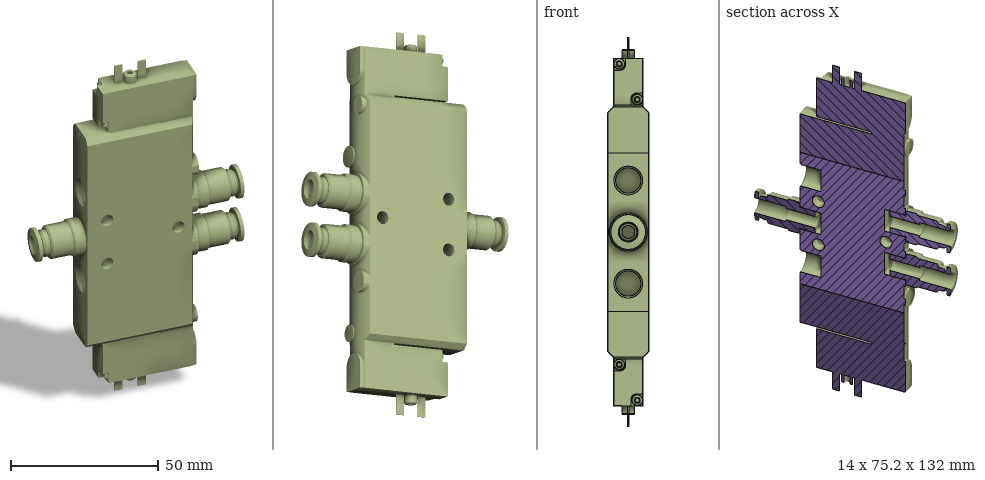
import cadquery as cq
import math

valve_width = 14.0
total_height = 132.0
fitting_span = 75.2
front_y = -20.2
seat_y = -front_y
crown_y = 19.7
shoulder_y = 17.7
center_half_height = 26.9
cap_top_z = 42.5
pilot_top_z = 59.0
half_width = valve_width / 2
crown_rise = crown_y - shoulder_y
crown_radius = (half_width**2 + crown_rise**2) / (2 * crown_rise)

front_port_pitch = 17.5
rear_port_z = front_port_pitch / 2
port_diameter = 8.57
port_mouth_diameter = 9.73
port_depth = 8.0
mount_hole_diameter = 4.4
front_mount_y = -13.1
rear_mount_y = 12.7
port_boss_diameter = 14.4

center_boss_diameter = 7.4
center_boss_x = 3.5
center_boss_z = 22.1
cap_boss_diameter = 6.0
cap_boss_x = -3.0
cap_boss_z = 39.0

cap_chamfer = 2.0
block_width = 10.0
block_front_y = 7.0
pad_width = 9.5
pad_arc_center_z = 51.1
coil_width = 9.9
coil_front_y = -13.9
coil_bottom_z = 43.1

screw_inset = 1.9
screw_pocket_diameter = 4.4
screw_pocket_depth = 2.0
screw_base_diameter = 3.6
screw_tip_diameter = 2.0
screw_height = 0.8
screw_socket_diameter = 1.57

stud_y = -2.2
stud_diameter = 4.4
stud_height = 3.0
stud_chamfer = 0.4
stud_hole_diameter = 2.0
contact_offset_y = 4.2
contact_width = 2.9
contact_thickness = 0.5
contact_top_z = total_height / 2

thread_radius = port_diameter / 2
thread_length = 6.0
seat_ring_radius = 12.4 / 2
seat_ring_top = 0.3
washer_radius = 12.9 / 2
washer_top = 1.9
collar_radius = 13.0 / 2
collar_top = 4.0
barrel_radius = 11.8 / 2
barrel_bottom = collar_top + collar_radius - barrel_radius
barrel_top = 12.45
barrel_chamfer = 0.7
sleeve_radius = 9.5 / 2
sleeve_top = 14.2
step_radius = 9.1 / 2
step_top = 15.1
step_chamfer = 0.3
neck_radius = 8.0 / 2
flange_bottom = 15.65
flange_top = 16.95
fitting_height = fitting_span / 2 - seat_y
tube_mouth_radius = 6.7 / 2
tube_radius = 6.0 / 2
tube_mouth_depth = 0.35
tube_depth = 12.0
flow_radius = 4.4 / 2


def prism(width, y_front, z_low, z_high):
    """Block of the given width whose back follows the common crown arc."""
    half = width / 2
    edge_y = crown_y - crown_radius + math.sqrt(crown_radius**2 - half**2)
    return (
        cq.Workplane("XY", origin=(0, 0, z_low))
        .moveTo(-half, y_front)
        .lineTo(half, y_front)
        .lineTo(half, edge_y)
        .threePointArc((0, crown_y), (-half, edge_y))
        .close()
        .extrude(z_high - z_low)
    )


def box_between(x_range, y_range, z_range):
    """Box from its limits along each axis."""
    lows, highs = zip(x_range, y_range, z_range)
    sizes = [high - low for low, high in zip(lows, highs)]
    return cq.Workplane("XY").box(*sizes, centered=False).translate(lows)


def y_cylinder(diameter, x, z, y_low, y_high):
    """Cylinder along +Y between two Y positions."""
    axis = cq.Vector(0, 1, 0)
    return cq.Workplane(cq.Solid.makeCylinder(diameter / 2, y_high - y_low, cq.Vector(x, y_low, z), axis))


def rear_boss(diameter, x, z):
    """Round boss standing up to the seat plane, trimmed flush with the valve sides."""
    boss = y_cylinder(diameter, x, z, block_front_y, seat_y)
    side_trim = box_between((-half_width, half_width), (block_front_y, seat_y), (z - diameter, z + diameter))
    return boss.intersect(side_trim)


def port_cutter(z):
    """Chamfered blind port entering the front face at height z."""
    chamfer = (port_mouth_diameter - port_diameter) / 2
    profile = [
        (0, 0),
        (port_mouth_diameter / 2, 0),
        (port_diameter / 2, chamfer),
        (port_diameter / 2, port_depth),
        (0, port_depth),
    ]
    cutter = cq.Workplane("XY").polyline(profile).close().revolve(360, (0, 0, 0), (0, 1, 0))
    return cutter.translate((0, front_y, z))


def turn_to_back(shape):
    """Turn a shape half a turn about Z, swapping front and back."""
    return shape.rotate((0, 0, 0), (0, 0, 1), 180)


def make_center_section():
    section = prism(valve_width, front_y, -center_half_height, center_half_height)
    for side in (1, -1):
        section = section.union(rear_boss(port_boss_diameter, 0, side * rear_port_z))
        section = section.union(rear_boss(center_boss_diameter, side * center_boss_x, side * center_boss_z))
    for step in (-1, 0, 1):
        section = section.cut(port_cutter(step * front_port_pitch))
    for side in (-1, 1):
        section = section.cut(turn_to_back(port_cutter(side * rear_port_z)))
    mount_holes = (
        cq.Workplane("YZ", origin=(-half_width, 0, 0))
        .pushPoints([(front_mount_y, rear_port_z), (front_mount_y, -rear_port_z), (rear_mount_y, 0)])
        .circle(mount_hole_diameter / 2)
        .extrude(valve_width)
    )
    return section.cut(mount_holes)


def make_cap():
    cap = prism(valve_width, front_y, center_half_height, cap_top_z)
    side_edges = cq.selectors.BoxSelector(
        (-valve_width, front_y - 1, cap_top_z - cap_chamfer / 2),
        (valve_width, shoulder_y + 1, cap_top_z + cap_chamfer / 2),
    )
    cap = cap.faces(">Z").edges("|Y").edges(side_edges).chamfer(cap_chamfer)
    return cap.union(rear_boss(cap_boss_diameter, cap_boss_x, cap_boss_z))


def make_pilot_block():
    block = prism(block_width, block_front_y, cap_top_z, pilot_top_z)
    pad_half = pad_width / 2
    pad_round = y_cylinder(pad_width, 0, pad_arc_center_z, block_front_y, seat_y)
    pad_flat = box_between((-pad_half, pad_half), (block_front_y, seat_y), (pad_arc_center_z, pilot_top_z))
    return block.union(pad_round).union(pad_flat)


def screw_pocket(x_side, z_side, x, z):
    """Corner recess: a round end around the screw, opened out to both outer edges."""
    radius = screw_pocket_diameter / 2
    floor_y = coil_front_y + screw_pocket_depth
    reach = 2 * radius
    y_range = (coil_front_y, floor_y)
    pocket = y_cylinder(screw_pocket_diameter, x, z, *y_range)
    spans_x = sorted((x - x_side * radius, x + x_side * reach))
    spans_z = sorted((z, z + z_side * reach))
    pocket = pocket.union(box_between(spans_x, y_range, spans_z))
    spans_x = sorted((x, x + x_side * reach))
    spans_z = sorted((z - z_side * radius, z + z_side * reach))
    return pocket.union(box_between(spans_x, y_range, spans_z))


def screw_head(x, z):
    """Low conical screw head with a round socket, standing on the pocket floor."""
    profile = [
        (screw_socket_diameter / 2, 0),
        (screw_base_diameter / 2, 0),
        (screw_tip_diameter / 2, -screw_height),
        (screw_socket_diameter / 2, -screw_height),
    ]
    head = cq.Workplane("XY").polyline(profile).close().revolve(360, (0, 0, 0), (0, 1, 0))
    return head.translate((x, coil_front_y + screw_pocket_depth, z))


def make_coil():
    half = coil_width / 2
    coil = box_between((-half, half), (coil_front_y, block_front_y), (coil_bottom_z, pilot_top_z))
    corners = [(-1, 1, pilot_top_z), (1, -1, coil_bottom_z)]
    for x_side, z_side, edge_z in corners:
        x = x_side * (half - screw_inset)
        z = edge_z - z_side * screw_inset
        coil = coil.cut(screw_pocket(x_side, z_side, x, z)).union(screw_head(x, z))
    stud = (
        cq.Workplane("XY", origin=(0, stud_y, pilot_top_z))
        .circle(stud_diameter / 2)
        .extrude(stud_height)
        .faces(">Z")
        .chamfer(stud_chamfer)
        .faces(">Z")
        .workplane()
        .hole(stud_hole_diameter, stud_height)
    )
    contacts = (
        cq.Workplane("XY", origin=(0, stud_y, pilot_top_z))
        .pushPoints([(0, contact_offset_y), (0, -contact_offset_y)])
        .rect(contact_thickness, contact_width)
        .extrude(contact_top_z - pilot_top_z)
    )
    return coil.union(stud).union(contacts)


def make_end_section():
    return make_cap().union(make_pilot_block()).union(make_coil())


def make_fitting():
    """Turned push-in fitting along +Y, with its seat at Y = 0."""
    profile = [
        (flow_radius, -thread_length),
        (thread_radius, -thread_length),
        (thread_radius, 0),
        (seat_ring_radius, 0),
        (seat_ring_radius, seat_ring_top),
        (washer_radius, seat_ring_top),
        (washer_radius, washer_top),
        (collar_radius, washer_top),
        (collar_radius, collar_top),
        (barrel_radius, barrel_bottom),
        (barrel_radius, barrel_top - barrel_chamfer),
        (barrel_radius - barrel_chamfer, barrel_top),
        (sleeve_radius, barrel_top),
        (sleeve_radius, sleeve_top - (sleeve_radius - step_radius)),
        (step_radius, sleeve_top),
        (step_radius, step_top - step_chamfer),
        (step_radius - step_chamfer, step_top),
        (neck_radius, step_top),
        (neck_radius, flange_bottom),
        (barrel_radius, flange_bottom),
        (barrel_radius, flange_top),
        (tube_mouth_radius, fitting_height),
        (tube_radius, fitting_height - tube_mouth_depth),
        (tube_radius, fitting_height - tube_depth),
        (flow_radius, fitting_height - tube_depth),
    ]
    return cq.Workplane("XY").polyline(profile).close().revolve(360, (0, 0, 0), (0, 1, 0))


center_section = make_center_section()

end_section = make_end_section()
end_sections = [end_section.rotate((0, 0, 0), (0, 1, 0), angle) for angle in (0, 180)]

fitting = make_fitting().translate((0, seat_y, 0))
fittings = [fitting.translate((0, 0, side * rear_port_z)) for side in (1, -1)]
fittings.append(turn_to_back(fitting))

result = cq.Compound.makeCompound(
    [
        center_section.val(),
        *[section.val() for section in end_sections],
        *[copy.val() for copy in fittings],
    ]
)